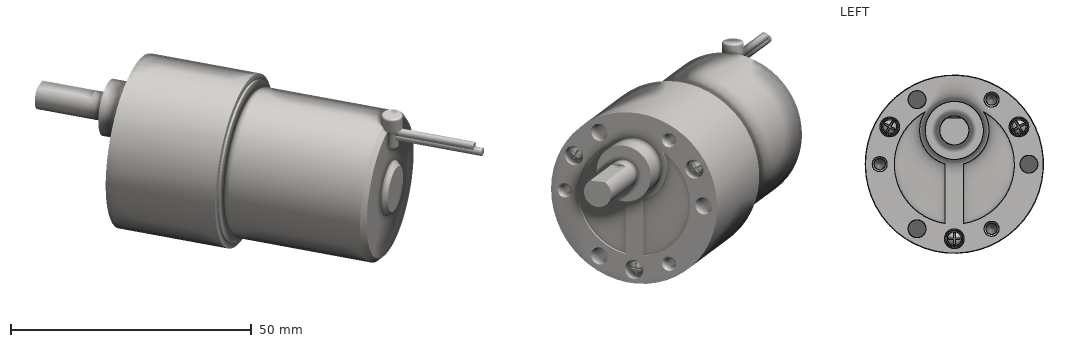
import cadquery as cq
import math


gearbox_radius = 18.5
gearbox_length = 24.1
lip_radius = 17.3
lip_length = 0.5

motor_radius = 16.0
motor_length = 31.6
motor_front_fillet = 1.7
motor_rear_chamfer = 1.1
rear_boss_radius = 5.9
rear_boss_length = 1.2
rear_boss_chamfer = 1.1

shaft_offset = 7.0
shaft_radius = 3.0
shaft_length = 15.0
flat_depth = 0.5
flat_length = 12.0
bearing_radius = 6.0
bearing_length = 5.9

recess_radius = 12.5
recess_depth = 0.5
ring_radius = 7.2
rib_width = 3.9

bolt_circle_radius = 15.5
plain_hole_radius = 1.9
plain_hole_depth = 7.8
plain_hole_angles = (60, 180, 300)
thread_mouth_radius = 1.6
thread_bore_radius = 1.2
thread_bore_depth = 5.85
drill_tip_angle = 118.0
thread_hole_angles = (0, 120, 240)

screw_hole_radius = 2.0
screw_hole_depth = 1.95
screw_head_radius = 1.8
screw_head_height = 0.5
screw_dome_radius = 1.5
screw_dome_height = 0.7
cross_slot_width = 0.4
cross_slot_length = 2.3
cross_slot_depth = 0.6
screw_angles = (30, 150, 270)

suppressor_radius = 2.2
suppressor_top = 18.1
suppressor_bottom = 15.0
suppressor_fillet = 0.5
suppressor_overhang = 0.4
stem_radius = 1.4
stem_bottom = 10.6
wire_radius = 0.9
upper_wire_height = 14.0
lower_wire_height = 13.0
upper_wire_end = 74.7
lower_wire_end = 76.5

motor_front = gearbox_length + lip_length
motor_rear = motor_front + motor_length


def rod(radius, start, end, z=0.0):
    """Cylinder along X between two X positions."""
    return cq.Workplane("YZ", origin=(start, 0, z)).circle(radius).extrude(end - start)


def on_bolt_circle(tool, angle):
    """Move a tool from the motor axis to an angle measured from +Y towards +Z."""
    placed = tool.translate((0, bolt_circle_radius, 0))
    return placed.rotate((0, 0, 0), (1, 0, 0), angle)


def make_housing():
    gearbox = rod(gearbox_radius, 0, gearbox_length)
    lip = rod(lip_radius, gearbox_length, motor_front)
    motor = rod(motor_radius, motor_front, motor_rear)
    motor = motor.faces("<X").edges().fillet(motor_front_fillet)
    motor = motor.faces(">X").edges().chamfer(motor_rear_chamfer)
    boss = rod(rear_boss_radius, motor_rear, motor_rear + rear_boss_length)
    boss = boss.faces(">X").edges().chamfer(rear_boss_chamfer)
    return gearbox.union(lip).union(motor).union(boss)


def make_face_recess():
    recess = rod(recess_radius, 0, recess_depth)
    ring = rod(ring_radius, 0, recess_depth, z=shaft_offset)
    rib_height = recess_radius + shaft_offset
    rib = cq.Workplane("XY").box(recess_depth, rib_width, rib_height, (False, True, False))
    rib = rib.translate((0, 0, -recess_radius))
    return recess.cut(ring).cut(rib)


def make_shaft():
    bearing = rod(bearing_radius, -bearing_length, 0, z=shaft_offset)
    tip = -bearing_length - shaft_length
    shaft = rod(shaft_radius, tip, -bearing_length, z=shaft_offset)
    flat = cq.Workplane("XY").box(flat_length, 2 * shaft_radius, flat_depth, (False, True, False))
    flat = flat.translate((tip, 0, shaft_offset + shaft_radius - flat_depth))
    return bearing.union(shaft.cut(flat))


def make_threaded_hole():
    """Blind bore with a 45 degree countersunk mouth and a drill-tip bottom."""
    mouth_depth = thread_mouth_radius - thread_bore_radius
    tip_length = thread_bore_radius / math.tan(math.radians(drill_tip_angle / 2))
    profile = (
        cq.Workplane("XY")
        .lineTo(0, thread_mouth_radius)
        .lineTo(mouth_depth, thread_bore_radius)
        .lineTo(thread_bore_depth, thread_bore_radius)
        .lineTo(thread_bore_depth + tip_length, 0)
        .close()
    )
    return profile.revolve(360, (0, 0, 0), (1, 0, 0))


def make_screw_head():
    """Head on the floor of the screw hole, with a smaller dome and a cross slot."""
    shoulder = screw_hole_depth - screw_head_height
    top = shoulder - screw_dome_height
    head = rod(screw_head_radius, shoulder, screw_hole_depth)
    ball_radius = (screw_dome_radius**2 + screw_dome_height**2) / (2 * screw_dome_height)
    ball = cq.Workplane("XY").sphere(ball_radius).translate((top + ball_radius, 0, 0))
    dome = rod(screw_dome_radius, top, shoulder).intersect(ball)
    slot_a = cq.Workplane("XY").box(cross_slot_depth, cross_slot_length, cross_slot_width)
    slot_b = cq.Workplane("XY").box(cross_slot_depth, cross_slot_width, cross_slot_length)
    cross = slot_a.union(slot_b).translate((top + cross_slot_depth / 2, 0, 0))
    return head.union(dome).cut(cross)


def make_suppressor():
    """Round cap on a thinner stem, both partly sunk into the rear of the motor."""
    center_x = motor_rear + suppressor_overhang
    cap = cq.Workplane("XY", origin=(center_x, 0, suppressor_bottom))
    cap = cap.circle(suppressor_radius).extrude(suppressor_top - suppressor_bottom)
    cap = cap.faces(">Z").edges().fillet(suppressor_fillet)
    stem = cq.Workplane("XY", origin=(center_x, 0, stem_bottom))
    stem = stem.circle(stem_radius).extrude(suppressor_bottom - stem_bottom)
    return cap.union(stem)


def make_wires():
    upper_wire = rod(wire_radius, motor_rear, upper_wire_end, z=upper_wire_height)
    lower_wire = rod(wire_radius, motor_rear, lower_wire_end, z=lower_wire_height)
    return upper_wire.union(lower_wire)


result = make_housing().cut(make_face_recess()).union(make_shaft())

for angle in plain_hole_angles:
    result = result.cut(on_bolt_circle(rod(plain_hole_radius, 0, plain_hole_depth), angle))

for angle in thread_hole_angles:
    result = result.cut(on_bolt_circle(make_threaded_hole(), angle))

for angle in screw_angles:
    result = result.cut(on_bolt_circle(rod(screw_hole_radius, 0, screw_hole_depth), angle))
    result = result.union(on_bolt_circle(make_screw_head(), angle))

result = result.union(make_suppressor()).union(make_wires())